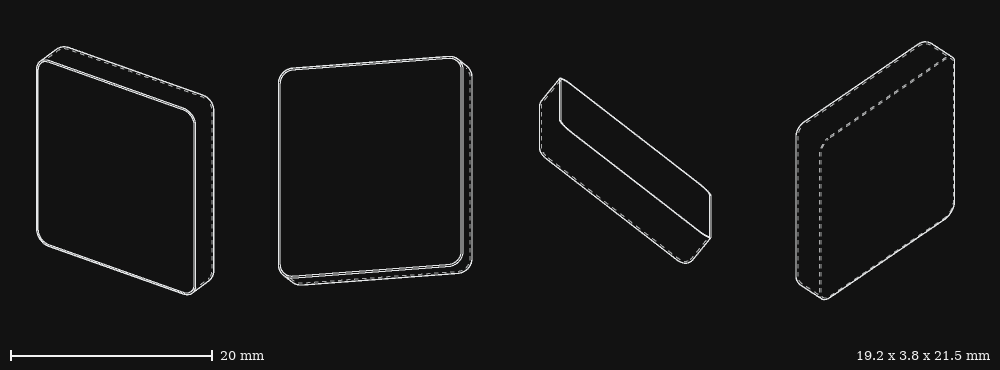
import cadquery as cq

width = 19.2
depth = 3.8
height = 21.5

wall = 0.2
corner_radius = 1.5
back_edge_radius = 0.9

cavity_width = width - 2 * wall
cavity_height = height - 2 * wall
cavity_depth = depth - wall
cavity_corner_radius = corner_radius - wall
cavity_edge_radius = back_edge_radius - wall


def rounded_block(size_x, size_y, size_z, corner, back_edge):
    """Block from Y = 0 to size_y, with rounded corners and a rounded +Y rim."""
    block = cq.Workplane("XY").box(size_x, size_y, size_z, centered=(True, False, True))
    block = block.edges("|Y").fillet(corner)
    return block.faces(">Y").edges().fillet(back_edge)


shell = rounded_block(width, depth, height, corner_radius, back_edge_radius)
cavity = rounded_block(
    cavity_width, cavity_depth, cavity_height, cavity_corner_radius, cavity_edge_radius
)

result = shell.cut(cavity)